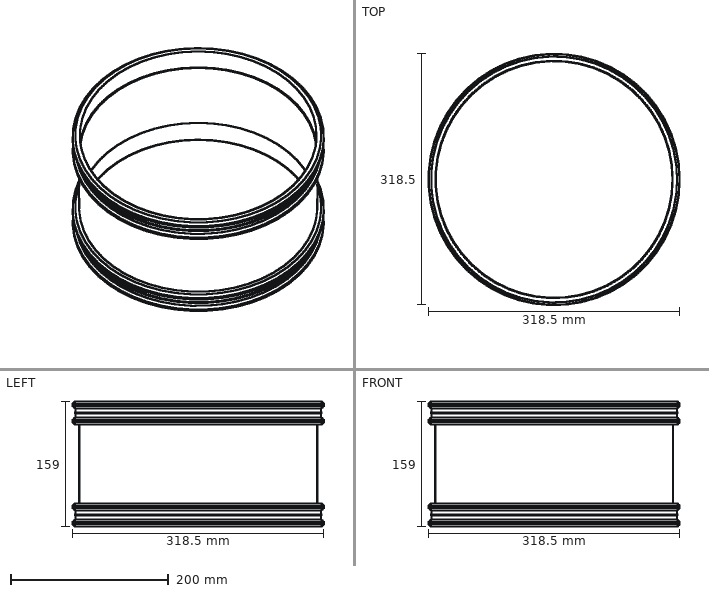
import cadquery as cq

outer_diameter = 318.5
total_height = 159.0
bore_diameter = 300.0
tube_diameter = 302.0

groove_diameter = 311.7
ring_height = 29.5
groove_width = 11.5
bead_height = 0.5
bead_half_width = 0.5

outer_radius = outer_diameter / 2
bore_radius = bore_diameter / 2
tube_radius = tube_diameter / 2
groove_radius = groove_diameter / 2
bevel = outer_radius - groove_radius
flange_width = (ring_height - groove_width) / 2


def flange_outline(base_z):
    """Outer (radius, z) points of one flange, from bottom to top."""
    top_z = base_z + flange_width
    return [
        (groove_radius, base_z),
        (outer_radius, base_z + bevel),
        (outer_radius, top_z - bevel),
        (groove_radius, top_z),
    ]


def end_ring(base_z):
    """Flanged ring whose lower face lies at base_z."""
    top_z = base_z + ring_height
    middle_z = base_z + ring_height / 2
    bead_outline = [
        (groove_radius, middle_z - bead_half_width),
        (groove_radius + bead_height, middle_z),
        (groove_radius, middle_z + bead_half_width),
    ]
    profile = [(bore_radius, base_z)]
    profile += flange_outline(base_z)
    profile += bead_outline
    profile += flange_outline(top_z - flange_width)
    profile += [(bore_radius, top_z)]
    return cq.Workplane("XZ").polyline(profile).close().revolve(360, (0, 0), (0, 1))


def thin_tube():
    """Thin wall that runs between the two end rings."""
    return (
        cq.Workplane("XY")
        .workplane(offset=ring_height)
        .circle(tube_radius)
        .circle(bore_radius)
        .extrude(total_height - 2 * ring_height)
    )


flanged_tube = end_ring(0).union(thin_tube(), clean=False)

upper_ring = end_ring(total_height - ring_height)

result = cq.Compound.makeCompound([flanged_tube.val(), upper_ring.val()])